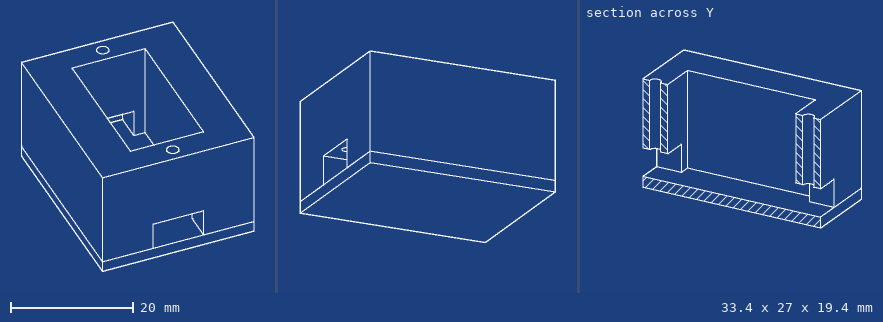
import cadquery as cq

length = 33.4
width = 27.0
height = 19.4

plate_thickness = 2.0
housing_height = height - plate_thickness

opening_length = 24.0
opening_width = 13.0

hole_diameter = 2.0
hole_spacing = 28.8

passage_width = 9.0
passage_height = 5.0


def make_plate():
    """Flat plate that closes the underside of the housing."""
    return cq.Workplane("XY").box(length, width, plate_thickness, centered=(True, True, False))


def make_housing():
    """Block with a central opening, two screw holes and a cable passage along X."""
    base = cq.Workplane("XY").workplane(offset=plate_thickness)
    block = base.box(length, width, housing_height, centered=(True, True, False))
    opening = base.rect(opening_length, opening_width).extrude(housing_height)
    holes = (
        base.rarray(hole_spacing, 0.35, 2, 1)
        .circle(hole_diameter / 2)
        .extrude(housing_height)
    )
    passage = base.box(length, passage_width, passage_height, centered=(True, True, False))
    return block.cut(opening).cut(holes).cut(passage)


plate = make_plate()
housing = make_housing()

result = cq.Compound.makeCompound([plate.val(), housing.val()])